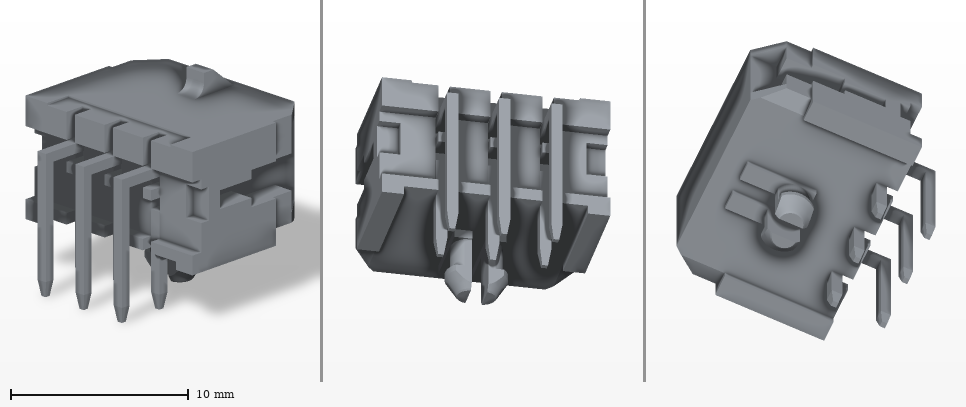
import cadquery as cq


width = 13.15
top_z = 7.4
base_z = 0.5
front_y = 9.9
rear_block_depth = 6.75
foot_width = 1.28

shroud_half_width = 6.31
corner_half_width = 4.96
corner_y = 8.27
edge_bevel_width = 0.97
edge_bevel_height = 0.42
corner_slot_bottom_z = 1.53
corner_slot_top_z = 6.64

key_slot_z = 3.96
wide_slot_height = 2.24
wide_slot_end_y = 4.77
narrow_slot_height = 1.13
narrow_slot_end_y = 2.24

step_depth = 0.72
step_bottom_z = 1.18
step_top_z = 5.58
notch_width = 1.22
notch_bottom_z = 2.95
notch_top_z = 4.97
roof_recess_width = 9.68
roof_recess_depth = 1.72
roof_recess_drop = 0.15

pitch = 3.0
pin_columns = [-pitch, 0, pitch]
pin_width = 0.66
pin_thickness = 0.62
pin_slot_depth = 1.33
pin_tip_z = -3.15
pin_taper_height = 0.99
pin_tip_width = 0.33
upper_pin_top_z = 5.52
upper_pin_rear_y = -2.34
lower_pin_top_z = 2.81
stub_bottom_z = 3.64
stub_height = 0.63

latch_width = 1.38
latch_front_y = 9.38
latch_crest_y = 7.72
latch_catch_y = 6.95
latch_top_z = 8.8
latch_root_radius = 0.76

peg_y = 5.31
peg_axis_x = 0.38
peg_gap = 0.95
peg_depth = 2.0
shaft_radius = 1.12
barb_radius = 1.42
nose_radius = 0.82
nose_flat_radius = 0.74
barb_top_z = -1.71
barb_bottom_z = -2.08
nose_edge_z = -3.05
nose_z = -3.14
rib_front_y = 8.48


def block(x0, x1, y0, y1, z0, z1):
    """Box given by its limits along each axis."""
    return cq.Workplane("XY").box(x1 - x0, y1 - y0, z1 - z0, centered=False).translate((x0, y0, z0))


def both_sides(shape):
    """A shape together with its mirror image in X."""
    return shape.union(shape.mirror("YZ"))


def housing_blank():
    """Rear block on two feet, with the corner-cut and bevelled shroud in front."""
    half_width = width / 2
    rear = block(-half_width, half_width, 0, rear_block_depth, base_z, top_z)
    foot = block(-half_width, -half_width + foot_width, 0, rear_block_depth, 0, base_z)

    shroud = (
        cq.Workplane("XY", origin=(0, 0, base_z))
        .moveTo(-shroud_half_width, rear_block_depth)
        .lineTo(-shroud_half_width, corner_y)
        .lineTo(-corner_half_width, front_y)
        .lineTo(corner_half_width, front_y)
        .lineTo(shroud_half_width, corner_y)
        .lineTo(shroud_half_width, rear_block_depth)
        .close()
        .extrude(top_z - base_z)
    )
    bevel = (
        cq.Workplane("XZ", origin=(0, rear_block_depth, 0))
        .moveTo(-shroud_half_width, base_z)
        .lineTo(-shroud_half_width + edge_bevel_width, base_z)
        .lineTo(-shroud_half_width, base_z + edge_bevel_height)
        .close()
        .extrude(rear_block_depth - front_y)
    )
    return rear.union(both_sides(foot)).union(shroud.cut(both_sides(bevel)))


def key_slots():
    """Blind stepped slots of one depth in the sides, opening into the cut front corners."""
    outer = -width / 2
    wide_half = wide_slot_height / 2
    narrow_half = narrow_slot_height / 2
    corner = block(outer, -corner_half_width, corner_y, front_y, corner_slot_bottom_z, corner_slot_top_z)
    wide = block(
        outer, -corner_half_width, wide_slot_end_y, front_y, key_slot_z - wide_half, key_slot_z + wide_half
    )
    narrow = block(
        outer,
        -corner_half_width,
        narrow_slot_end_y,
        wide_slot_end_y,
        key_slot_z - narrow_half,
        key_slot_z + narrow_half,
    )
    return both_sides(corner.union(wide).union(narrow))


def rear_cuts():
    """Stepped-back rear face, its side notches, the shallow roof recess and the pin slots."""
    half_width = width / 2
    step = block(-half_width, half_width, 0, step_depth, step_bottom_z, step_top_z)
    notch = block(-half_width, -half_width + notch_width, 0, pin_slot_depth, notch_bottom_z, notch_top_z)
    roof_half = roof_recess_width / 2
    roof = block(-roof_half, roof_half, 0, roof_recess_depth, top_z - roof_recess_drop, top_z)
    cuts = step.union(both_sides(notch)).union(roof)
    for x in pin_columns:
        cuts = cuts.union(block(x - pin_width / 2, x + pin_width / 2, 0, pin_slot_depth, base_z, top_z))
    return cuts


def pin_leg(x, y0, thickness, z_top):
    """Vertical pin leg with a tapered tip, its rear face at y0."""
    taper_z = pin_tip_z + pin_taper_height
    leg = block(x - pin_width / 2, x + pin_width / 2, y0, y0 + thickness, taper_z, z_top)
    tip = (
        cq.Workplane("XY", origin=(x, y0 + thickness / 2, taper_z))
        .rect(pin_width, thickness)
        .workplane(offset=-pin_taper_height)
        .rect(pin_tip_width, pin_tip_width)
        .loft(ruled=True)
    )
    return leg.union(tip)


def pin_column(x):
    """Bent upper pin, straight lower pin and the square stub between them."""
    x0 = x - pin_width / 2
    x1 = x + pin_width / 2
    arm = block(
        x0, x1, upper_pin_rear_y, pin_slot_depth, upper_pin_top_z - pin_thickness, upper_pin_top_z
    )
    upper_leg = pin_leg(x, upper_pin_rear_y, pin_thickness, upper_pin_top_z)
    lower_leg = pin_leg(x, pin_slot_depth - pin_width, pin_width, lower_pin_top_z)
    stub = block(x0, x1, 0, pin_slot_depth, stub_bottom_z, stub_bottom_z + stub_height)
    return arm.union(upper_leg).union(lower_leg).union(stub)


def latch():
    """Ramped catch on the roof with a concave root behind it."""
    root_z = top_z + latch_root_radius
    root_y = latch_catch_y - latch_root_radius
    return (
        cq.Workplane("YZ")
        .moveTo(latch_front_y, top_z)
        .lineTo(latch_crest_y, latch_top_z)
        .lineTo(latch_catch_y, latch_top_z)
        .lineTo(latch_catch_y, root_z)
        .radiusArc((root_y, top_z), latch_root_radius)
        .close()
        .extrude(latch_width / 2, both=True)
    )


def snap_pegs():
    """Two mirrored peg halves, flattened front and rear, each on a rib under the housing."""
    inner_x = peg_gap / 2
    peg = (
        cq.Workplane("XZ")
        .moveTo(0, 0)
        .lineTo(shaft_radius, 0)
        .lineTo(shaft_radius, barb_top_z)
        .lineTo(barb_radius, barb_top_z)
        .lineTo(barb_radius, barb_bottom_z)
        .lineTo(nose_radius, nose_edge_z)
        .lineTo(nose_flat_radius, nose_z)
        .lineTo(0, nose_z)
        .close()
        .revolve(360, (0, 0, 0), (0, 1, 0))
        .translate((peg_axis_x, peg_y, 0))
    )
    outer_x = peg_axis_x + barb_radius
    peg_half_depth = peg_depth / 2
    peg = peg.intersect(block(inner_x, outer_x, peg_y - peg_half_depth, peg_y + peg_half_depth, nose_z, 0))
    rib = block(inner_x, peg_axis_x + shaft_radius, peg_y - shaft_radius, rib_front_y, 0, base_z)
    return both_sides(peg.union(rib))


result = housing_blank().cut(key_slots()).cut(rear_cuts()).union(latch()).union(snap_pegs())
for column_x in pin_columns:
    result = result.union(pin_column(column_x))